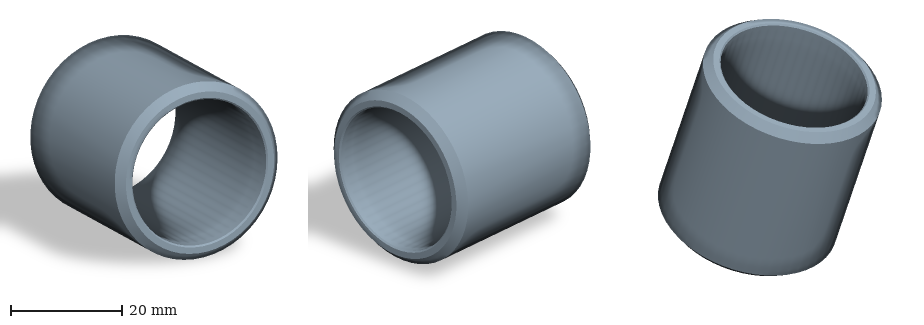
import cadquery as cq

length = 35.0
outer_diameter = 33.25
bore_diameter = 27.3
outer_chamfer = 1.5
bore_chamfer = 0.28


def chamfered_cylinder():
    """Solid cylinder along X with a 45 degree chamfer on both ends."""
    cylinder = cq.Workplane("YZ", origin=(-length / 2, 0, 0)).circle(outer_diameter / 2).extrude(length)
    return cylinder.faces("<X or >X").chamfer(outer_chamfer)


def cut_bore(body):
    """Cut the through bore and break both of its rims."""
    sleeve = body.faces(">X").workplane().hole(bore_diameter)
    bore_rims = sleeve.faces("<X or >X").edges(cq.selectors.RadiusNthSelector(0))
    return bore_rims.chamfer(bore_chamfer)


result = cut_bore(chamfered_cylinder())